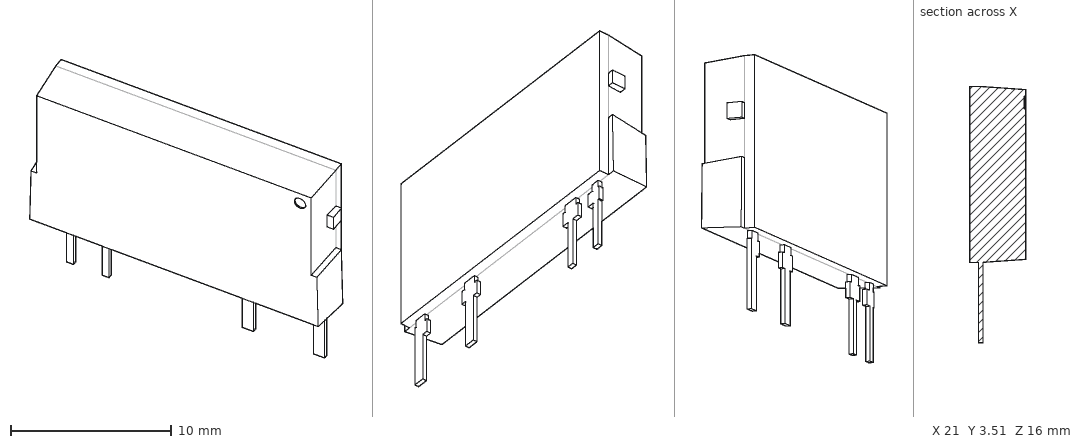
import cadquery as cq
import math


body_height = 11.0
upper_half_width = 10.0
ledge_height = 4.5
ledge_half_width = 10.4
foot_half_width = 10.5
total_depth = 3.51
plate_depth = 0.7
shell_depth = total_depth - plate_depth
draft_angle = 4.0

tab_bottom = 7.0
tab_size = 1.0
tab_half_span = ledge_half_width

mark_x = 9.0
mark_z = 10.0
mark_radius = 0.4
mark_depth = 0.1

pitch = 2.54
pin_thickness = 0.3
pin_length = 5.0
shoulder_top = -0.5
shoulder_bottom = -1.5
pin_root = 1.0
first_pin_x = -8.9
thin_leg = 0.25
wide_leg = 0.4
full_shoulder = 0.75

pins = [
    (first_pin_x, (0.25, 0.35), (0.35, 0.75), (thin_leg, thin_leg)),
    (first_pin_x + pitch, (0.55, 0.55), (full_shoulder, full_shoulder), (thin_leg, thin_leg)),
    (first_pin_x + 5 * pitch, (0.5, 0.5), (full_shoulder, full_shoulder), (wide_leg, wide_leg)),
    (first_pin_x + 7 * pitch, (0.6, 0.3), (0.8, wide_leg), (wide_leg, wide_leg)),
]


def block(x_range, y_range, z_range):
    """Axis-aligned box given by its (low, high) limits."""
    lows, highs = zip(x_range, y_range, z_range)
    sizes = [high - low for low, high in zip(lows, highs)]
    return cq.Workplane("XY").box(*sizes, centered=False).translate(lows)


def drafted_prism(bottom_half_width, top_half_width, height):
    """Symmetric trapezoid standing on Z = 0, drafted inward towards -Y."""
    outline = cq.Workplane("XZ").polyline([
        (-bottom_half_width, 0),
        (bottom_half_width, 0),
        (top_half_width, height),
        (-top_half_width, height),
    ]).close()
    return outline.extrude(shell_depth, taper=draft_angle)


def make_shell():
    """Front shell: a full-height block widened by a lower, slightly flared foot."""
    main_block = drafted_prism(upper_half_width, upper_half_width, body_height)
    foot = drafted_prism(foot_half_width, ledge_half_width, ledge_height)
    return main_block.union(foot)


def make_plate():
    """Flat plate behind the parting plane."""
    return block((-upper_half_width, upper_half_width), (0, plate_depth), (0, body_height))


def make_tabs():
    """Small square tab on each side, ending inside the drafted wall."""
    draft_inset = shell_depth * math.tan(math.radians(draft_angle))
    inner_x = upper_half_width - draft_inset
    tab = block((inner_x, tab_half_span), (-tab_size, 0), (tab_bottom, tab_bottom + tab_size))
    return tab.union(tab.mirror("YZ"))


def make_pin(x, neck, shoulder, leg):
    """Flat pin with a neck, a wider stop shoulder and a long leg."""
    sections = [
        (neck, shoulder_top, pin_root),
        (shoulder, shoulder_bottom, shoulder_top),
        (leg, -pin_length, shoulder_bottom),
    ]
    y_range = (-pin_thickness / 2, pin_thickness / 2)
    pin = cq.Workplane("XY")
    for (left, right), bottom, top in sections:
        pin = pin.union(block((x - left, x + right), y_range, (bottom, top)))
    return pin


def make_mark():
    """Cutter for the round mark in the front face."""
    face = cq.Workplane("XZ", origin=(mark_x, -shell_depth, mark_z))
    return face.circle(mark_radius).extrude(-mark_depth)


result = make_shell().union(make_plate()).union(make_tabs())
for pin in pins:
    result = result.union(make_pin(*pin))
result = result.cut(make_mark())